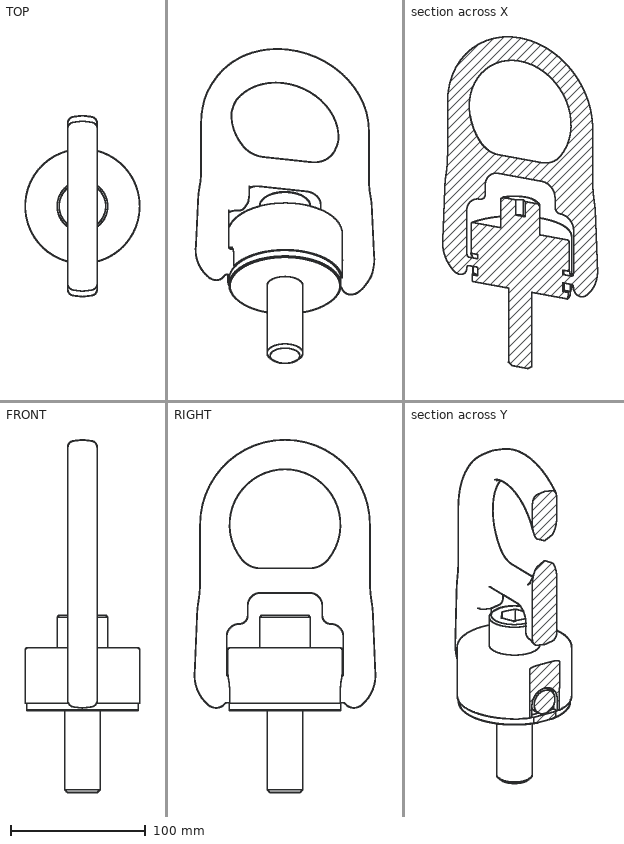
import cadquery as cq
import math


body_diameter = 85.0
body_top = 46.9
top_round = 2.0
flange_diameter = 83.0
flange_height = 5.6
flange_chamfer = 0.8

head_diameter = 37.5
head_top = 71.0
head_chamfer = 1.5
stud_diameter = 26.6
stud_length = 60.6
stud_chamfer = 2.3
socket_across_flats = 19.0
socket_depth = 12.0
socket_turn = 53.0

bow_thickness = 22.0
bow_draft = 7.0
bow_edge_round = 5.0

bow_top = 200.9
bow_radius = 63.0
bow_center_z = bow_top - bow_radius
flare_top_z = 95.5
flare_knee_z = 81.0
leg_upper = (65.2, 71.8)
leg_lower = (66.9, 30.5)
toe_outer = (57.0, 4.4)
toe_bottom = (52.3, 2.2)
toe_inner_z = 10.0

leg_inner_y = 43.1
shoulder_z = 64.3
lug_corner_radius = 6.5
arch_half_width = 27.5
arch_top = 87.3
arch_radius = 9.2

hook_radius = 41.0
hook_floor_z = 105.7
hook_corner_radius = 18.0

pin_radius = 9.5
pin_z = 15.5
pin_root_y = leg_inner_y + 6.0
pin_root_round = 2.5
pin_clear = 1.0
pocket_radius = 11.0
pocket_floor_y = 36.0


def make_body():
    flange = (
        cq.Workplane("XY")
        .circle(flange_diameter / 2)
        .extrude(flange_height)
        .faces("<Z")
        .chamfer(flange_chamfer)
    )
    drum = (
        cq.Workplane("XY", origin=(0, 0, flange_height))
        .circle(body_diameter / 2)
        .extrude(body_top - flange_height)
        .faces(">Z")
        .fillet(top_round)
    )
    return flange.union(drum)


def make_pocket():
    """Arched recess on the +Y side of the drum, standing on the flange."""
    return (
        cq.Workplane("XZ", origin=(0, pocket_floor_y, 0))
        .moveTo(-pocket_radius, flange_height)
        .lineTo(-pocket_radius, pin_z)
        .threePointArc((0, pin_z + pocket_radius), (pocket_radius, pin_z))
        .lineTo(pocket_radius, flange_height)
        .close()
        .extrude(pocket_floor_y - body_diameter / 2)
    )


def make_screw_head():
    across_corners = socket_across_flats / math.cos(math.radians(30))
    socket = (
        cq.Workplane("XY", origin=(0, 0, head_top))
        .polygon(6, across_corners)
        .extrude(-socket_depth)
        .rotate((0, 0, 0), (0, 0, 1), socket_turn)
    )
    head = (
        cq.Workplane("XY", origin=(0, 0, body_top))
        .circle(head_diameter / 2)
        .extrude(head_top - body_top)
        .faces(">Z")
        .chamfer(head_chamfer)
    )
    return head.cut(socket)


def make_stud():
    return (
        cq.Workplane("XY")
        .circle(stud_diameter / 2)
        .extrude(-stud_length)
        .faces("<Z")
        .chamfer(stud_chamfer)
    )


def flare_knee():
    """Point where the two tangent arcs between the leg and the straight side meet."""
    leg_lean = math.atan2(leg_lower[0] - leg_upper[0], leg_upper[1] - leg_lower[1])
    upper_height = flare_top_z - flare_knee_z
    total_height = flare_top_z - leg_upper[1]
    narrowing = leg_upper[0] - bow_radius
    slope = (narrowing + upper_height * leg_lean / 2) / total_height
    return (leg_upper[0] - slope * (flare_knee_z - leg_upper[1]), flare_knee_z)


def bow_outline():
    """Closed outer edge of the bow, traced from the arch down one leg and up to the top."""
    lug_end_y = arch_half_width + lug_corner_radius
    shoulder_radius = leg_inner_y - lug_end_y
    diagonal = bow_radius * math.sqrt(0.5)
    return (
        cq.Workplane("YZ")
        .moveTo(0, arch_top)
        .lineTo(arch_half_width - arch_radius, arch_top)
        .tangentArcPoint((arch_half_width, arch_top - arch_radius), relative=False)
        .lineTo(arch_half_width, shoulder_z + lug_corner_radius)
        .tangentArcPoint((lug_end_y, shoulder_z), relative=False)
        .radiusArc((leg_inner_y, shoulder_z - shoulder_radius), shoulder_radius)
        .lineTo(leg_inner_y, toe_inner_z)
        .tangentArcPoint(toe_bottom, relative=False)
        .tangentArcPoint(toe_outer, relative=False)
        .tangentArcPoint(leg_lower, relative=False)
        .lineTo(*leg_upper)
        .tangentArcPoint(flare_knee(), relative=False)
        .tangentArcPoint((bow_radius, flare_top_z), relative=False)
        .lineTo(bow_radius, bow_center_z)
        .threePointArc((diagonal, bow_center_z + diagonal), (0, bow_top))
        .mirrorY()
    )


def hook_outline():
    """Closed edge of the hook opening: a circle cut by a flat floor with rounded corners."""
    corner_z = hook_floor_z + hook_corner_radius
    center_gap = hook_radius - hook_corner_radius
    corner_y = math.sqrt(center_gap**2 - (bow_center_z - corner_z) ** 2)
    reach = hook_radius / center_gap
    blend_y = corner_y * reach
    blend_z = bow_center_z + (corner_z - bow_center_z) * reach
    return (
        cq.Workplane("YZ")
        .moveTo(-corner_y, hook_floor_z)
        .lineTo(corner_y, hook_floor_z)
        .tangentArcPoint((blend_y, blend_z), relative=False)
        .threePointArc((0, bow_center_z + hook_radius), (-blend_y, blend_z))
        .tangentArcPoint((-corner_y, hook_floor_z), relative=False)
        .close()
    )


def make_bow():
    half_thickness = bow_thickness / 2
    blank = bow_outline().extrude(half_thickness, taper=bow_draft)
    opening = hook_outline().extrude(half_thickness, taper=-bow_draft)
    half = blank.cut(opening).faces(">X").edges().fillet(bow_edge_round)
    return half.union(half.mirror("YZ"))


def pin_zone():
    """Box around the place where the +Y pin meets its leg."""
    reach = pin_radius + pin_clear
    return cq.selectors.BoxSelector(
        (-reach, pocket_floor_y + pin_clear, pin_z - reach),
        (reach, pin_root_y + pin_clear, pin_z + reach),
        boundingbox=True,
    )


def add_pin(bow):
    """Stand the +Y pin on its leg, with a rounded root."""
    pin = (
        cq.Workplane("XZ", origin=(0, pocket_floor_y, pin_z))
        .circle(pin_radius)
        .extrude(pocket_floor_y - pin_root_y)
    )
    return bow.union(pin).edges(pin_zone()).edges("not(%LINE)").fillet(pin_root_round)


body = make_body()
pocket = make_pocket()
body = body.cut(pocket).cut(pocket.mirror("XZ"))

bow = make_bow()
for _ in range(2):
    bow = add_pin(bow).rotate((0, 0, 0), (0, 0, 1), 180)

result = body.union(make_screw_head()).union(make_stud()).union(bow)